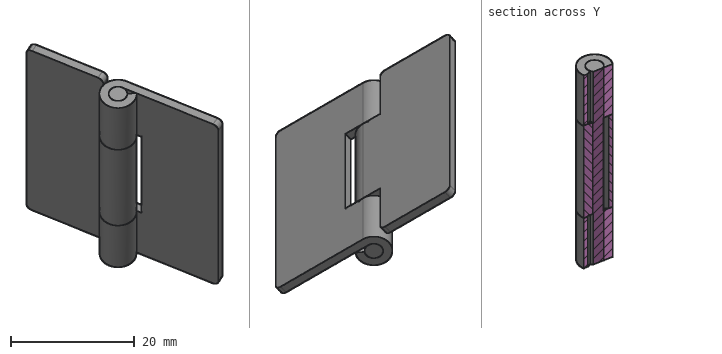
import cadquery as cq
import math

height = 40.0
width = 35.0
thickness = 1.5
pin_radius = 1.5
middle_knuckle_height = 19.05
notch_reach = 3.5
corner_radius = 1.0
curl_end_angle = 29.5

knuckle_radius = pin_radius + thickness
half_width = width / 2
end_knuckle_height = (height - middle_knuckle_height) / 2
middle_bottom = -middle_knuckle_height / 2
middle_top = middle_knuckle_height / 2


def polar(radius, angle):
    """Point at a radius and an angle in degrees about the hinge axis."""
    return (radius * math.cos(math.radians(angle)), radius * math.sin(math.radians(angle)))


def knuckle(bottom, length):
    """Strip rolled around the pin, with a flat tail toward +X reaching the leaf plate."""
    middle_angle = (90 + curl_end_angle + 360) / 2
    return (
        cq.Workplane("XY", origin=(0, 0, bottom))
        .moveTo(notch_reach, knuckle_radius)
        .lineTo(0, knuckle_radius)
        .threePointArc(polar(knuckle_radius, middle_angle), polar(knuckle_radius, curl_end_angle))
        .lineTo(*polar(pin_radius, curl_end_angle))
        .threePointArc(polar(pin_radius, middle_angle), (0, pin_radius))
        .lineTo(notch_reach, pin_radius)
        .close()
        .extrude(length)
    )


def plate():
    """Flat part of a leaf on the +X side, beyond the notches."""
    return cq.Workplane("XY").box(
        half_width - notch_reach, thickness, height, centered=(False, False, True)
    ).translate((notch_reach, pin_radius, 0))


def make_outer_leaf():
    """Leaf on the +X side, carrying the two end knuckles."""
    leaf = plate().edges("|Y and >X").fillet(corner_radius)
    for bottom in (-height / 2, middle_top):
        leaf = leaf.union(knuckle(bottom, end_knuckle_height))
    return leaf


def make_middle_leaf():
    """Leaf on the -X side, carrying the middle knuckle."""
    leaf = plate().edges("|Y").fillet(corner_radius)
    leaf = leaf.union(knuckle(middle_bottom, middle_knuckle_height))
    return leaf.mirror("YZ")


def make_pin():
    """Plain pin, flush with both ends of the knuckles."""
    return cq.Workplane("XY", origin=(0, 0, -height / 2)).circle(pin_radius).extrude(height)


outer_leaf = make_outer_leaf()
middle_leaf = make_middle_leaf()
pin = make_pin()

result = cq.Compound.makeCompound([outer_leaf.val(), middle_leaf.val(), pin.val()])